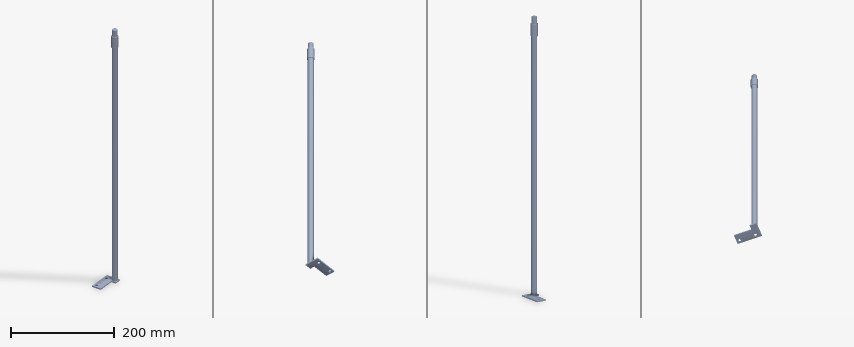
import cadquery as cq

total_height = 557.5
foot_length_x = 30.0
foot_length_y = 50.0

foot_thickness = 3.0
strip_width = 20.0
tab_depth = 14.0

hole_diameter = 5.5
hole_from_left = 6.0
front_hole_from_front = 6.0
rear_hole_from_back = 11.0

rod_diameter = 11.5
collar_diameter = tab_depth
pin_diameter = 10.5
pin_length = 14.0
collar_length = 25.0

post_x = foot_length_x - collar_diameter / 2
post_y = foot_length_y - collar_diameter / 2
collar_top = total_height - pin_length
collar_bottom = collar_top - collar_length


def make_foot():
    """L-shaped plate with two screw holes, its front left corner at the origin."""
    strip = cq.Workplane("XY").box(strip_width, foot_length_y, foot_thickness, centered=False)
    tab = (
        cq.Workplane("XY")
        .box(foot_length_x, tab_depth, foot_thickness, centered=False)
        .translate((0, foot_length_y - tab_depth, 0))
    )
    hole_places = [
        (hole_from_left, front_hole_from_front),
        (hole_from_left, foot_length_y - rear_hole_from_back),
    ]
    holes = (
        cq.Workplane("XY")
        .pushPoints(hole_places)
        .circle(hole_diameter / 2)
        .extrude(foot_thickness)
    )
    return strip.union(tab).cut(holes)


def post_section(diameter, bottom, top):
    """Round section of the post between two heights."""
    return (
        cq.Workplane("XY", origin=(post_x, post_y, bottom))
        .circle(diameter / 2)
        .extrude(top - bottom)
    )


rod = post_section(rod_diameter, 0, collar_bottom)
collar = post_section(collar_diameter, collar_bottom, collar_top)
pin = post_section(pin_diameter, collar_top, total_height)

result = make_foot().union(rod).union(collar).union(pin)